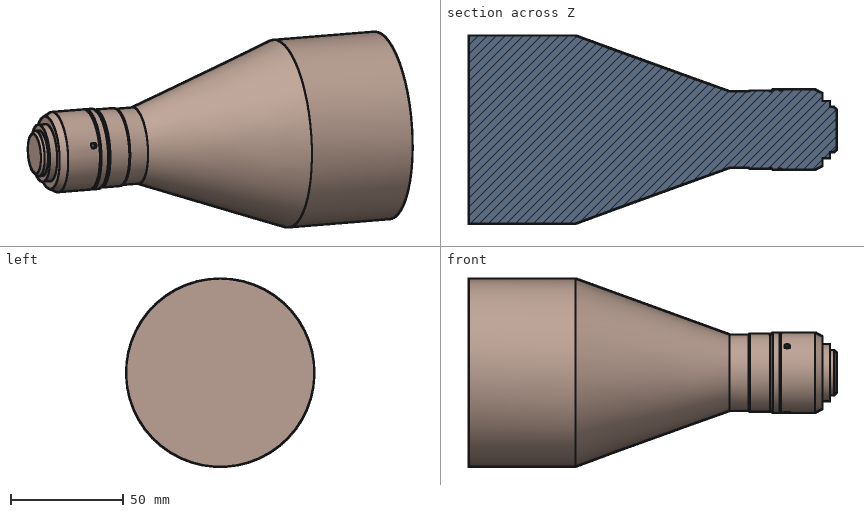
import cadquery as cq

overall_length = 163.9
barrel_end = 47.6
cone_end = 116.2
neck_end = 124.6
band_start = 125.2
band_end = 134.1
band_groove_end = 134.5
collar_start = 135.4
ring_groove_start = 138.5
ring_groove_end = 139.1
collar_taper_start = 154.2
collar_end = 157.6
flange_end = 161.0
tip_chamfer = 1.3

barrel_radius = 42.0
neck_radius = 17.1
band_radius = 17.5
collar_radius = 18.0
collar_end_radius = 16.2
flange_radius = 12.8
tip_radius = 10.2
groove_depth = 0.5

hole_count = 3
hole_diameter = 2.4
hole_depth = 2.0
hole_station = 141.8
first_hole_angle = 19.0


def make_body():
    """Turned body: half profile of (station, radius) points revolved about X."""
    band_groove_radius = band_radius - groove_depth
    collar_groove_radius = collar_radius - groove_depth
    profile = [
        (0, 0),
        (0, barrel_radius),
        (barrel_end, barrel_radius),
        (cone_end, neck_radius),
        (neck_end, neck_radius),
        (band_start, band_radius),
        (band_end, band_radius),
        (band_end, band_groove_radius),
        (band_groove_end, band_groove_radius),
        (collar_start, collar_radius),
        (ring_groove_start, collar_radius),
        (ring_groove_start, collar_groove_radius),
        (ring_groove_end, collar_groove_radius),
        (ring_groove_end, collar_radius),
        (collar_taper_start, collar_radius),
        (collar_end, collar_end_radius),
        (collar_end, flange_radius),
        (flange_end, flange_radius),
        (flange_end, tip_radius),
        (overall_length - tip_chamfer, tip_radius),
        (overall_length, tip_radius - tip_chamfer),
        (overall_length, 0),
    ]
    return cq.Workplane("XZ").polyline(profile).close().revolve(360, (0, 0, 0), (1, 0, 0))


def make_screw_hole(angle):
    """Blind radial hole cutter, turned about X from +Y by the given angle."""
    overshoot = 1.0
    cutter = cq.Solid.makeCylinder(
        hole_diameter / 2,
        hole_depth + overshoot,
        cq.Vector(hole_station, collar_radius - hole_depth, 0),
        cq.Vector(0, 1, 0),
    )
    return cq.Workplane(cutter).rotate((0, 0, 0), (1, 0, 0), angle)


result = make_body()
for index in range(hole_count):
    result = result.cut(make_screw_hole(first_hole_angle + index * 360 / hole_count))